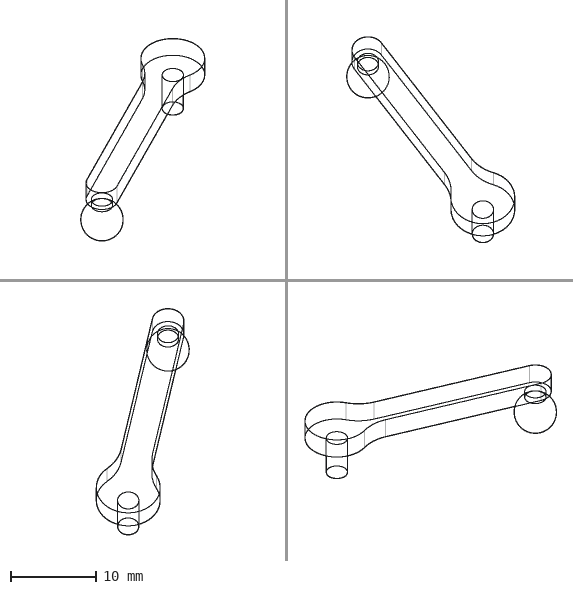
import cadquery as cq
import math

head_radius = 3.75
arm_width = 3.75
center_distance = 24.98
thickness = 2.5
blend_radius = 5.0
pin_diameter = 2.5
pin_length = 5.0
ball_radius = 2.5
neck_diameter = 2.5
ball_drop = 3.0

arm_half = arm_width / 2
arm_end_y = -center_distance

blend_center_x = arm_half + blend_radius
blend_center_distance = head_radius + blend_radius
blend_center_y = -math.sqrt(blend_center_distance**2 - blend_center_x**2)
head_share = head_radius / blend_center_distance
head_tangent_x = blend_center_x * head_share
head_tangent_y = blend_center_y * head_share

blend_half_angle = math.atan2(-blend_center_y, blend_center_x) / 2
blend_mid_x = blend_center_x - blend_radius * math.cos(blend_half_angle)
blend_mid_y = blend_center_y + blend_radius * math.sin(blend_half_angle)


def make_lever():
    """Flat lever: round head blended into a straight arm with a round end."""
    return (
        cq.Workplane("XY")
        .moveTo(head_tangent_x, head_tangent_y)
        .threePointArc((0, head_radius), (-head_tangent_x, head_tangent_y))
        .threePointArc((-blend_mid_x, blend_mid_y), (-arm_half, blend_center_y))
        .lineTo(-arm_half, arm_end_y)
        .threePointArc((0, arm_end_y - arm_half), (arm_half, arm_end_y))
        .lineTo(arm_half, blend_center_y)
        .threePointArc((blend_mid_x, blend_mid_y), (head_tangent_x, head_tangent_y))
        .close()
        .extrude(thickness)
    )


def make_post(y, diameter, length):
    """Round post hanging down from the underside of the lever."""
    return cq.Workplane("XY").center(0, y).circle(diameter / 2).extrude(-length)


pin = make_post(0, pin_diameter, pin_length)
neck = make_post(arm_end_y, neck_diameter, ball_drop)
ball = cq.Workplane("XY").sphere(ball_radius).translate((0, arm_end_y, -ball_drop))

result = make_lever().union(pin).union(neck).union(ball)